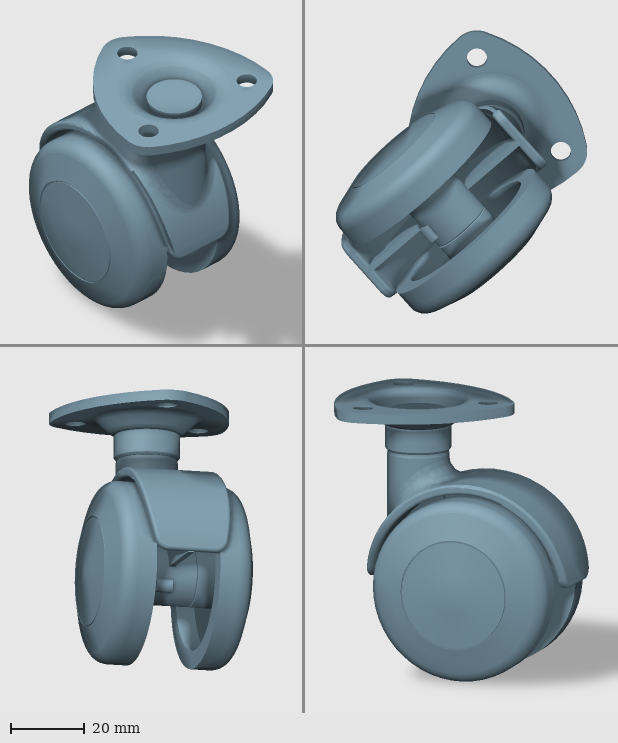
import cadquery as cq
import math


overall_height = 74.5
wheel_radius = 24.95
wheel_inner_face = 8.95
tread_end = 14.5
shoulder_end = 18.4
shoulder_radius = 22.35
cap_edge = 20.85
cap_radius = 14.9
cap_apex = 22.5
cap_groove_width = 0.45
cap_groove_depth = 0.4
recess_radius = 20.0
recess_floor = 14.15

hub_radius = 8.2
hub_half_length = 8.4
hub_groove_position = 7.3
hub_groove_width = 0.5
hub_groove_depth = 0.4

shell_outer_radius = 28.9
shell_thickness = 2.7
shell_inner_radius = shell_outer_radius - shell_thickness
shell_half_width = 12.45
shell_bottom = 1.1
shell_rim_fillet = 0.8
shell_taper_top = 24.6
shell_mid_height = 12.7
shell_mid_half_width = 11.6
shell_bottom_half_width = 9.4
shell_corner_radius = 3.7

web_thickness = 1.65
web_bottom = 0.9
web_opening_inner_radius = 21.6
web_opening_start = 67.0
web_opening_end = 166.0
web_opening_corner = 1.85

tab_radius = 1.85
tab_height = -4.3
tab_projection = 1.85
tab_start = -0.15
tab_length = 4.5

swivel_x = 17.05
neck_radius = 8.5
neck_top = 35.45
neck_chamfer_height = 1.0
neck_chamfer_width = 0.3
neck_fillet = 4.85
neck_foot = 8.95
collar_radius = 9.0
collar_chamfer_height = 0.7
collar_chamfer_width = 0.6
collar_top_chamfer = 0.4

plate_top = overall_height - wheel_radius
plate_thickness = 2.8
plate_bottom = plate_top - plate_thickness
hole_circle_radius = 20.0
hole_radius = 2.75
plate_corner_radius = 7.15
plate_flat_distance = 21.8

dish_rim_radius = 15.4
dish_angle = math.radians(42)
dish_under_bend = 3.05
dish_bottom = 42.5
dish_base_round = 3.7

pin_head_radius = 7.5
pin_head_top = plate_bottom
pin_shank_radius = 5.0
pin_end = 26.1


def polar(radius, degrees):
    angle = math.radians(degrees)
    return (radius * math.cos(angle), radius * math.sin(angle))


def y_cylinder(radius, half_length):
    return cq.Workplane("XZ").circle(radius).extrude(half_length, both=True)


def swivel_cylinder(radius, bottom, top):
    return cq.Workplane("XY", origin=(swivel_x, 0, bottom)).circle(radius).extrude(top - bottom)


def plate_outline():
    """Three-cornered outline with bowed sides tangent to the corner arcs, centred on the swivel axis."""
    corner_x, corner_y = polar(hole_circle_radius, 60)
    reach = plate_flat_distance - plate_corner_radius
    bow_centre = (hole_circle_radius**2 - reach**2) / (2 * (corner_x - reach))
    corner_normal = math.degrees(math.atan2(corner_y, corner_x - bow_centre))
    tangent_x, tangent_y = polar(plate_corner_radius, corner_normal)
    start_radius = math.hypot(corner_x + tangent_x, corner_y + tangent_y)
    start_angle = math.degrees(math.atan2(corner_y + tangent_y, corner_x + tangent_x))

    outline = cq.Workplane("XY", origin=(swivel_x, 0, plate_bottom)).moveTo(*polar(start_radius, start_angle))
    for corner in (60, 180, 300):
        corner_end = corner + (60 - start_angle)
        next_start = corner + 60 + start_angle
        outline = outline.threePointArc(
            polar(hole_circle_radius + plate_corner_radius, corner), polar(start_radius, corner_end)
        )
        outline = outline.threePointArc(
            polar(plate_flat_distance, corner + 60), polar(start_radius, next_start)
        )
    return outline.close()


def dish_points():
    """Tangent points of the dish walls, as (radius, height)."""
    top_bend = dish_under_bend + plate_thickness
    sine = math.sin(dish_angle)
    drop = 1 - math.cos(dish_angle)
    slope = math.tan(dish_angle)
    top_wall = (dish_rim_radius - top_bend * sine, plate_top - top_bend * drop)
    floor = (pin_head_radius, top_wall[1] - (top_wall[0] - pin_head_radius) * slope)
    under_wall = (dish_rim_radius - dish_under_bend * sine, plate_bottom - dish_under_bend * drop)
    base_height = dish_bottom + dish_base_round * drop
    base_wall = (under_wall[0] - (under_wall[1] - base_height) / slope, base_height)
    base = (base_wall[0] - dish_base_round * sine, dish_bottom)
    return top_wall, floor, under_wall, base_wall, base


def make_plate():
    top_wall, floor, under_wall, base_wall, base = dish_points()
    dish = (
        cq.Workplane("XZ", origin=(swivel_x, 0, 0))
        .moveTo(dish_rim_radius, plate_bottom)
        .lineTo(dish_rim_radius, plate_top)
        .radiusArc(top_wall, -(dish_under_bend + plate_thickness))
        .lineTo(*floor)
        .lineTo(pin_shank_radius, floor[1])
        .lineTo(pin_shank_radius, dish_bottom)
        .lineTo(*base)
        .radiusArc(base_wall, -dish_base_round)
        .lineTo(*under_wall)
        .radiusArc((dish_rim_radius, plate_bottom), dish_under_bend)
        .close()
        .revolve(360, (0, 0), (0, 1))
    )
    flange = plate_outline().extrude(plate_thickness)
    flange = flange.cut(swivel_cylinder(dish_rim_radius, plate_bottom, plate_top))
    plate = flange.union(dish)
    holes = (
        cq.Workplane("XY", origin=(swivel_x, 0, plate_bottom))
        .polarArray(hole_circle_radius, 60, 360, 3)
        .circle(hole_radius)
        .extrude(plate_thickness)
    )
    return plate.cut(holes)


def make_pin():
    head_bottom = dish_points()[1][1]
    head = swivel_cylinder(pin_head_radius, head_bottom, pin_head_top)
    shank = swivel_cylinder(pin_shank_radius, pin_end, head_bottom)
    return head.union(shank)


def make_collar():
    profile = [
        (pin_shank_radius, neck_top),
        (collar_radius - collar_chamfer_width, neck_top),
        (collar_radius, neck_top + collar_chamfer_height),
        (collar_radius, dish_bottom - collar_top_chamfer),
        (collar_radius - collar_top_chamfer, dish_bottom),
        (pin_shank_radius, dish_bottom),
    ]
    sketch = cq.Workplane("XZ", origin=(swivel_x, 0, 0)).polyline(profile).close()
    return sketch.revolve(360, (0, 0), (0, 1))


def shell_envelope():
    """Block that trims the shell as seen along X: rounded at the bottom, widening to parallel sides."""
    beyond = 1.1 * shell_outer_radius
    block = (
        cq.Workplane("YZ")
        .moveTo(-shell_bottom_half_width, shell_bottom)
        .lineTo(shell_bottom_half_width, shell_bottom)
        .threePointArc((shell_mid_half_width, shell_mid_height), (shell_half_width, shell_taper_top))
        .lineTo(shell_half_width, beyond)
        .lineTo(-shell_half_width, beyond)
        .lineTo(-shell_half_width, shell_taper_top)
        .threePointArc((-shell_mid_half_width, shell_mid_height), (-shell_bottom_half_width, shell_bottom))
        .close()
        .extrude(beyond, both=True)
    )
    return block.edges("|X and <Z").fillet(shell_corner_radius)


def make_shell():
    drum = y_cylinder(shell_outer_radius, shell_half_width)
    shell = drum.intersect(shell_envelope()).cut(y_cylinder(shell_inner_radius, shell_half_width))
    return shell.edges("not |X").fillet(shell_rim_fillet)


def make_neck():
    neck = swivel_cylinder(neck_radius, neck_foot, neck_top)
    neck = neck.faces(">Z").chamfer(neck_chamfer_height, neck_chamfer_width)
    return neck.cut(y_cylinder(shell_inner_radius, neck_radius))


def blend_neck(body):
    """Round the joint where the neck meets the outside of the shell."""
    joint_zone = cq.selectors.BoxSelector(
        (swivel_x - neck_radius, -neck_radius, shell_inner_radius - neck_fillet),
        (swivel_x + neck_radius, neck_radius, shell_inner_radius + neck_fillet),
    )
    return body.edges(joint_zone).fillet(neck_fillet)


def make_web():
    web_radius = shell_inner_radius + shell_thickness / 2
    web = y_cylinder(web_radius, web_thickness / 2)
    below = cq.Workplane("XY", origin=(0, 0, web_bottom)).rect(3 * web_radius, 3 * web_radius)
    web = web.cut(below.extrude(-2 * web_radius))
    middle = (web_opening_start + web_opening_end) / 2
    opening = (
        cq.Workplane("XZ")
        .moveTo(*polar(web_opening_inner_radius, web_opening_start))
        .lineTo(*polar(shell_inner_radius, web_opening_start))
        .threePointArc(polar(shell_inner_radius, middle), polar(shell_inner_radius, web_opening_end))
        .lineTo(*polar(web_opening_inner_radius, web_opening_end))
        .threePointArc(
            polar(web_opening_inner_radius, middle), polar(web_opening_inner_radius, web_opening_start)
        )
        .close()
        .extrude(web_thickness, both=True)
        .edges("|Y")
        .fillet(web_opening_corner)
    )
    return web.cut(opening)


def make_hub():
    hub = y_cylinder(hub_radius, hub_half_length)
    for side in (-1, 1):
        groove = (
            cq.Workplane("XY")
            .moveTo(hub_radius, side * (hub_groove_position - hub_groove_width / 2))
            .lineTo(hub_radius - hub_groove_depth, side * hub_groove_position)
            .lineTo(hub_radius, side * (hub_groove_position + hub_groove_width / 2))
            .close()
            .revolve(360, (0, 0), (0, 1))
        )
        hub = hub.cut(groove)
    tab_x = tab_radius - math.sqrt(hub_radius**2 - tab_height**2) - tab_projection
    tab = cq.Workplane("XZ", origin=(tab_x, tab_start, tab_height)).circle(tab_radius).extrude(-tab_length)
    return hub.union(tab)


def make_housing():
    housing = blend_neck(make_shell().union(make_neck()))
    housing = housing.union(make_web()).union(make_hub())
    return housing.cut(swivel_cylinder(pin_shank_radius, pin_end, neck_top))


def make_wheel(side):
    """Wheel turned about the Y axis; side is +1 or -1 for the +Y or -Y wheel."""
    groove_inner = cap_radius - cap_groove_width / 2
    groove_outer = cap_radius + cap_groove_width / 2
    groove_floor = cap_edge - cap_groove_depth
    profile = (
        cq.Workplane("XY")
        .moveTo(0, hub_half_length)
        .lineTo(hub_radius, hub_half_length)
        .lineTo(hub_radius, recess_floor)
        .lineTo(recess_radius, recess_floor)
        .lineTo(recess_radius, wheel_inner_face)
        .lineTo(wheel_radius, wheel_inner_face)
        .lineTo(wheel_radius, tread_end)
        .tangentArcPoint((shoulder_radius, shoulder_end), relative=False)
        .lineTo(groove_outer, cap_edge)
        .lineTo(groove_outer, groove_floor)
        .lineTo(groove_inner, groove_floor)
        .lineTo(groove_inner, cap_edge)
        .lineTo(0, cap_apex)
        .close()
    )
    wheel = profile.revolve(360, (0, 0), (0, 1))
    return wheel if side > 0 else wheel.mirror("XZ")


plate = make_plate()
pin = make_pin()
collar = make_collar()
housing = make_housing()
wheels = [make_wheel(side).val() for side in (-1, 1)]

result = cq.Compound.makeCompound([plate.val(), pin.val(), collar.val(), housing.val(), *wheels])